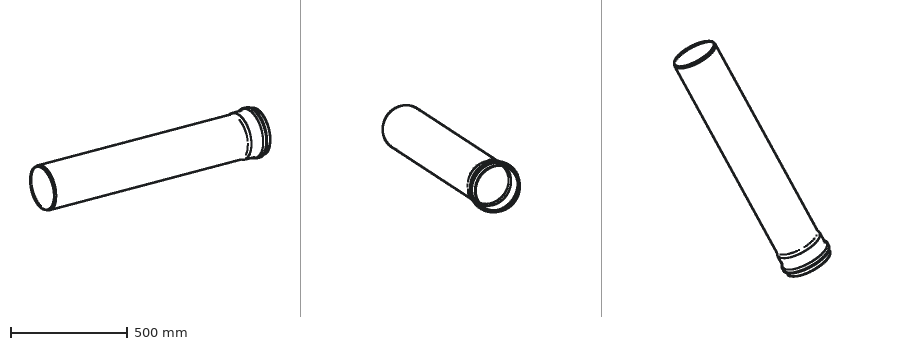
import cadquery as cq
import math

length = 1099.0
pipe_diameter = 200.0
bore_diameter = 190.0
spigot_tip_diameter = 193.0
spigot_chamfer_length = 9.0

socket_diameter = 209.0
socket_bore_diameter = 201.0
bead_diameter = 224.0
wall = (socket_diameter - socket_bore_diameter) / 2
groove_diameter = bead_diameter - 2 * wall

lip_length = 16.0
bead_crest_length = 15.0
socket_length = 95.0
socket_taper_end = 110.0

bead_height = (bead_diameter - socket_diameter) / 2
flank_radius = bead_height / 2
groove_flank_radius = flank_radius + wall

spigot_face = -length / 2
socket_mouth = length / 2
taper_start = socket_mouth - socket_taper_end
socket_start = socket_mouth - socket_length
lip_start = socket_mouth - lip_length
crest_top = lip_start - 2 * flank_radius
crest_bottom = crest_top - bead_crest_length
bead_bottom = crest_bottom - 2 * flank_radius

socket_radius = socket_diameter / 2
socket_bore_radius = socket_bore_diameter / 2
bead_radius = bead_diameter / 2
groove_radius = groove_diameter / 2
flank_middle_radius = socket_radius + flank_radius
diagonal = math.sqrt(0.5)


def arc_middle(center, radius, x_sign, y_sign):
    """Middle point of a quarter arc lying in the given quadrant about its center."""
    offset = radius * diagonal
    return (center[0] + x_sign * offset, center[1] + y_sign * offset)


def revolve_about_y(profile):
    """Full revolution of a closed half-profile about the Y axis."""
    return profile.close().revolve(360, (0, 0, 0), (0, 1, 0))


def outer_body():
    """Chamfered spigot, pipe, tapered socket shoulder, rounded bead and lip."""
    lower_concave_center = (flank_middle_radius, bead_bottom)
    lower_convex_center = (flank_middle_radius, crest_bottom)
    upper_convex_center = (flank_middle_radius, crest_top)
    upper_concave_center = (flank_middle_radius, lip_start)
    profile = (
        cq.Workplane("XY")
        .moveTo(0, spigot_face)
        .lineTo(spigot_tip_diameter / 2, spigot_face)
        .lineTo(pipe_diameter / 2, spigot_face + spigot_chamfer_length)
        .lineTo(pipe_diameter / 2, taper_start)
        .lineTo(socket_radius, socket_start)
        .lineTo(socket_radius, bead_bottom)
        .threePointArc(
            arc_middle(lower_concave_center, flank_radius, -1, 1),
            (flank_middle_radius, bead_bottom + flank_radius),
        )
        .threePointArc(
            arc_middle(lower_convex_center, flank_radius, 1, -1),
            (bead_radius, crest_bottom),
        )
        .lineTo(bead_radius, crest_top)
        .threePointArc(
            arc_middle(upper_convex_center, flank_radius, 1, 1),
            (flank_middle_radius, crest_top + flank_radius),
        )
        .threePointArc(
            arc_middle(upper_concave_center, flank_radius, -1, -1),
            (socket_radius, lip_start),
        )
        .lineTo(socket_radius, socket_mouth)
        .lineTo(0, socket_mouth)
    )
    return revolve_about_y(profile)


def inner_cavity():
    """Pipe bore, tapered entry, socket bore and a seal groove that keeps the wall even."""
    lower_flank_center = (groove_radius, bead_bottom)
    upper_flank_center = (groove_radius, lip_start)
    profile = (
        cq.Workplane("XY")
        .moveTo(0, spigot_face)
        .lineTo(bore_diameter / 2, spigot_face)
        .lineTo(bore_diameter / 2, taper_start)
        .lineTo(socket_bore_radius, socket_start)
        .lineTo(socket_bore_radius, bead_bottom)
        .threePointArc(
            arc_middle(lower_flank_center, groove_flank_radius, -1, 1),
            (groove_radius, crest_bottom),
        )
        .lineTo(groove_radius, crest_top)
        .threePointArc(
            arc_middle(upper_flank_center, groove_flank_radius, -1, -1),
            (socket_bore_radius, lip_start),
        )
        .lineTo(socket_bore_radius, socket_mouth)
        .lineTo(0, socket_mouth)
    )
    return revolve_about_y(profile)


result = outer_body().cut(inner_cavity())